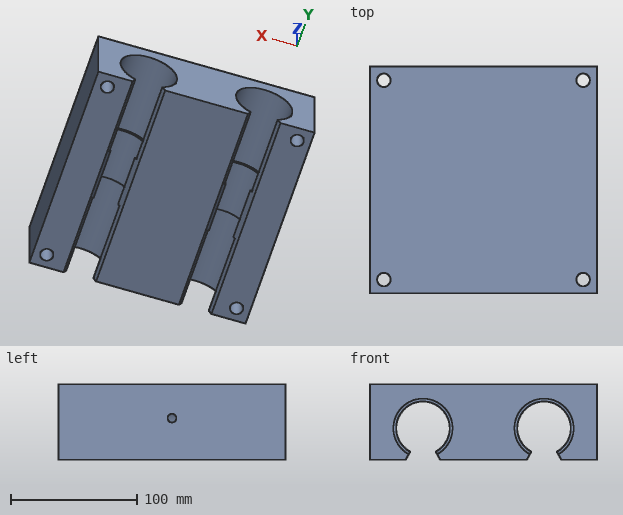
import cadquery as cq
import math

SIDE = 180.0
HEIGHT = 60.0

BORE_SPACING = 96.0
BORE_AXIS_Z = 25.0
SEAT_DIAMETER = 47.0
SEAT_DEPTH = 68.0
LIP_DIAMETER = 42.3
MOUTH_ANGLE = 57.0

MOUNT_DIAMETER = 10.5
MOUNT_SPACING = 158.0

CROSS_DIAMETER = 6.92
CROSS_AXIS_Z = 33.0

BORE_POSITIONS = (-BORE_SPACING / 2, BORE_SPACING / 2)


def make_block():
    return cq.Workplane("XY").box(SIDE, SIDE, HEIGHT, centered=(True, True, False))


def cylinder_along_y(x, diameter, y_start, length):
    """Cylinder on a bore axis, running toward +Y from y_start."""
    return (
        cq.Workplane("XZ", origin=(x, y_start, BORE_AXIS_Z))
        .circle(diameter / 2)
        .extrude(-length)
    )


def make_mouth(x):
    """Wedge that spreads from the bore axis down to the underside."""
    half_width = BORE_AXIS_Z * math.tan(math.radians(MOUTH_ANGLE / 2))
    return (
        cq.Workplane("XZ", origin=(x, -SIDE / 2, 0))
        .moveTo(0, BORE_AXIS_Z)
        .lineTo(-half_width, 0)
        .lineTo(half_width, 0)
        .close()
        .extrude(-SIDE)
    )


def make_bearing_bore(x):
    """Through bore with a wider bearing seat at each end and an open mouth."""
    bore = cylinder_along_y(x, LIP_DIAMETER, -SIDE / 2, SIDE)
    for seat_start in (-SIDE / 2, SIDE / 2 - SEAT_DEPTH):
        bore = bore.union(cylinder_along_y(x, SEAT_DIAMETER, seat_start, SEAT_DEPTH))
    return bore.union(make_mouth(x))


def make_mounting_holes():
    return (
        cq.Workplane("XY")
        .rect(MOUNT_SPACING, MOUNT_SPACING, forConstruction=True)
        .vertices()
        .circle(MOUNT_DIAMETER / 2)
        .extrude(HEIGHT)
    )


def make_cross_hole():
    """Hole that ends on the axis plane of the bore nearest the -X side."""
    length = SIDE / 2 + BORE_POSITIONS[0]
    return (
        cq.Workplane("YZ", origin=(-SIDE / 2, 0, CROSS_AXIS_Z))
        .circle(CROSS_DIAMETER / 2)
        .extrude(length)
    )


result = make_block()
for bore_x in BORE_POSITIONS:
    result = result.cut(make_bearing_bore(bore_x))
result = result.cut(make_mounting_holes())
result = result.cut(make_cross_hole())